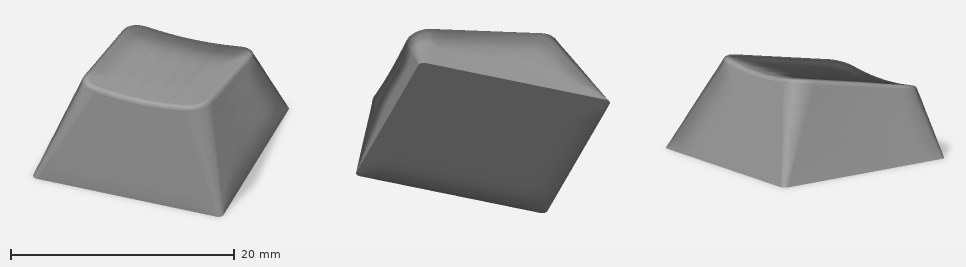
import cadquery as cq
import math

base_size = 18.1
base_corner = 0.49

rim_half_width = 5.97
rim_front_y = -5.3
rim_front_z = 8.89
rim_back_y = 8.81
rim_back_z = 6.06
rim_corner = 1.95

dish_radius = 31.13
dish_length = 54.3

rim_fillet = 0.45

overrun = 0.18

rim_slope = math.atan2(rim_front_z - rim_back_z, rim_back_y - rim_front_y)
rim_up = cq.Vector(0, math.sin(rim_slope), math.cos(rim_slope))
rim_mid_z = (rim_front_z + rim_back_z) / 2


def extend(base_value, rim_value, rim_z):
    """Continue a straight wall line from the base through the rim at height rim_z."""
    return base_value + (1 + overrun / rim_z) * (rim_value - base_value)


def tapered_body():
    """Straight-walled loft from the square base to a sloping section above the rim."""
    half_base = base_size / 2
    front_y = extend(-half_base, rim_front_y, rim_front_z)
    back_y = extend(half_base, rim_back_y, rim_back_z)
    width = 2 * extend(half_base, rim_half_width, rim_mid_z)
    length = (back_y - front_y) / math.cos(rim_slope)
    corner = extend(base_corner, rim_corner, rim_mid_z)
    center_y = (front_y + back_y) / 2
    center_z = rim_front_z + overrun - (center_y - rim_front_y) * math.tan(rim_slope)

    base = cq.Sketch().rect(base_size, base_size).vertices().fillet(base_corner)
    top = cq.Sketch().rect(width, length).vertices().fillet(corner)
    top_plane = cq.Plane(origin=(0, center_y, center_z), xDir=(1, 0, 0), normal=rim_up)
    return cq.Workplane("XY").placeSketch(base, top.moved(top_plane.location)).loft(ruled=True)


def dish_cutter():
    """Large cylinder that passes through both long sides of the sharp rim."""
    axis = cq.Vector(0, math.cos(rim_slope), -math.sin(rim_slope))
    rim_center = cq.Vector(0, (rim_front_y + rim_back_y) / 2, rim_mid_z)
    axis_height = math.sqrt(dish_radius**2 - rim_half_width**2)
    start = rim_center + rim_up * axis_height - axis * (dish_length / 2)
    return cq.Workplane(cq.Solid.makeCylinder(dish_radius, dish_length, start, axis))


body = tapered_body().cut(dish_cutter())
dish_face = body.faces("%CYLINDER")
result = dish_face.edges().fillet(rim_fillet)